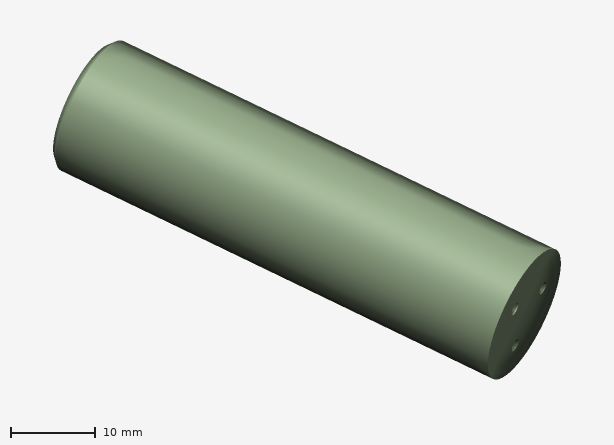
import cadquery as cq
import math

length = 60.0
diameter = 17.0
chamfer = 0.85

hole_count = 3
hole_diameter = 1.6
hole_circle_diameter = 8.65
first_hole_angle = 6.7
helix_angle = 30.0

helix_pitch = math.pi * diameter / math.tan(math.radians(helix_angle))
twist = 360.0 * length / helix_pitch


def make_rod():
    rod = cq.Workplane("YZ").circle(diameter / 2).extrude(length)
    return rod.faces("<X").chamfer(chamfer)


def make_coolant_hole(angle):
    """Right-hand helical bore running the full length of the rod."""
    radius = hole_circle_diameter / 2
    y = radius * math.cos(math.radians(angle))
    z = radius * math.sin(math.radians(angle))
    section = cq.Workplane("YZ").moveTo(y, z).circle(hole_diameter / 2)
    return section.twistExtrude(length, twist)


result = make_rod()
for index in range(hole_count):
    result = result.cut(make_coolant_hole(first_hole_angle + index * 360.0 / hole_count))